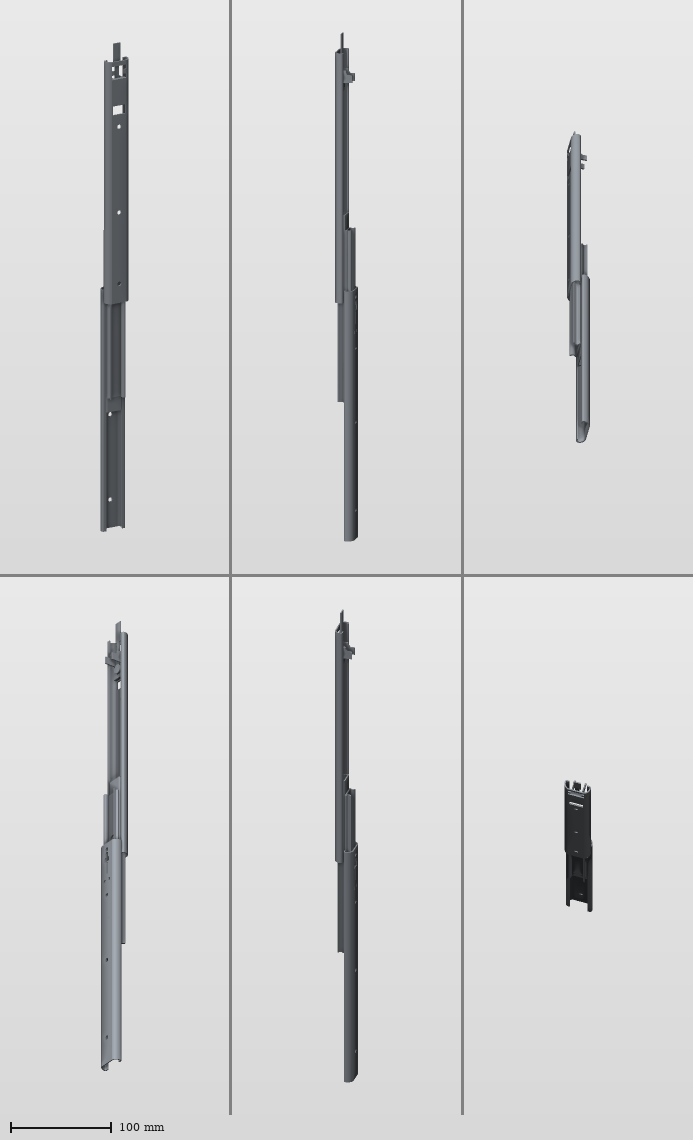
import cadquery as cq
import math


TOTAL_DEPTH = 19.1
TOTAL_WIDTH = 26.8
TOTAL_HEIGHT = 513.2
SHEET = 1.25
CUT_LENGTH = 60.0

RAIL_LENGTH = 254.0
RAIL_GAP = 1.0
RAIL_DEPTH = (TOTAL_DEPTH - RAIL_GAP) / 2
RAIL_HALF_WIDTH = TOTAL_WIDTH / 2
WEB_HALF_WIDTH = 8.4
SHOULDER_DEPTH = 6.5
LIP_RADIUS = 2.05
LIP_TIP = 9.1
DRAWER_WEB_X = -TOTAL_DEPTH / 2
CABINET_WEB_X = TOTAL_DEPTH / 2
DRAWER_RAIL_Z = 0.0
CABINET_RAIL_Z = 241.5

CHANNEL_LENGTH = 190.0
CHANNEL_JOINT_X = -0.6
CHANNEL_END_X = 7.0
CHANNEL_HALF_WIDTH = 8.5
CHANNEL_LIP = 0.9
GROOVE_DEPTH = 1.5
BACK_CORNER = 1.0
CABINET_CHANNEL_Z = 140.0
DRAWER_CHANNEL_Z = 124.5

HOLE_DIAMETER = 4.6
DRAWER_HOLES_Z = (29.5, 119.0, 246.5)
CABINET_HOLES_Z = (336.5, 426.5)
PASSAGE_Z = 261.5
PASSAGE_CLEARANCE_DIAMETER = 9.2
SLOT_HOLE_Z = 194.0
SLOT_HOLE_HEIGHT = 3.2

NECK_TOP_Z = 243.4
NECK_WIDTH = 4.6
BODY_TOP_Z = 237.3
BODY_BOTTOM_Z = 232.7
BODY_WIDTH = 7.7
SLIT_TOP_Z = 231.5
SLIT_BOTTOM_Z = 218.7
SLIT_WIDTH = 1.6
SQUARE_SIZE = 3.0
SQUARE_Z = 211.0
SQUARE_Y = 3.9

TAB_ROOT_WIDTH = 6.2
TAB_TIP_WIDTH = 3.0
TAB_TIP_X = -4.8

UPPER_WINDOW = (476.8, 490.7)
LOWER_WINDOW = (439.7, 449.0)
UPPER_WINDOW_WIDTH = 16.4
LOWER_WINDOW_WIDTH = 14.0
WINDOW_TAB = (481.5, 486.0)
WINDOW_TAB_GAP = 10.8

LATCH_FACE_X = 5.4
HOLDER_WIDTH = 16.4
HOLDER_BOTTOM_Z = 450.5
EAR_THICKNESS = 1.4
EAR_OUTER_Y = 6.0
EAR_TIP_X = -7.2
EAR_BOTTOM_Z = 464.5
EAR_TOP_Z = 472.2
EAR_ROOT_X = -0.8
EAR_SLOPE_TOP_Z = 474.5
EAR_SLOPE_START_X = -2.5
LEVER_THICKNESS = 1.2
LEVER_STEP_Z = UPPER_WINDOW[1]
LEVER_HANDLE_WIDTH = 7.7
LEVER_STEM_WIDTH = 4.6
LEVER_BOTTOM_Z = 464.8
RIVET_DIAMETER = 10.0
RIVET_THICKNESS = 2.4
RIVET_Z = 459.4


def box(x_range, width, z_range, y=0.0):
    """Block between two X and two Z positions, centred on y."""
    depth = x_range[1] - x_range[0]
    height = z_range[1] - z_range[0]
    block = cq.Workplane("XY").box(depth, width, height, centered=(False, True, False))
    return block.translate((x_range[0], y, z_range[0]))


def web_hole(diameter, z):
    """Round cutter along X."""
    return cq.Workplane("YZ").center(0, z).circle(diameter / 2).extrude(CUT_LENGTH / 2, both=True)


def web_window(width, z_range, y=0.0):
    """Rectangular cutter along X."""
    return box((-CUT_LENGTH / 2, CUT_LENGTH / 2), width, z_range, y)


def outer_rail(web_x, inward, bottom):
    """Rail with rounded shoulders and curled lips, its web at web_x and open toward inward."""

    def point(depth, y):
        return (web_x + inward * depth, y)

    rise = RAIL_HALF_WIDTH - WEB_HALF_WIDTH
    radius = (SHOULDER_DEPTH**2 + rise**2) / (2 * rise)
    center_y = RAIL_HALF_WIDTH - radius
    half_sweep = math.atan2(SHOULDER_DEPTH, WEB_HALF_WIDTH - center_y) / 2
    diagonal = math.sqrt(0.5)
    lip_start = RAIL_DEPTH - LIP_RADIUS
    lip_center_y = RAIL_HALF_WIDTH - LIP_RADIUS

    def shoulder(inset):
        """Web end and middle of the shoulder, on the surface that lies inset inside the sheet."""
        arc = radius - inset
        height = math.sqrt(arc**2 - (SHOULDER_DEPTH - inset) ** 2)
        web_end = (inset, center_y + height)
        middle = (SHOULDER_DEPTH - arc * math.sin(half_sweep), center_y + arc * math.cos(half_sweep))
        return web_end, middle

    def lip_middle(inset):
        reach = (LIP_RADIUS - inset) * diagonal
        return point(lip_start + reach, lip_center_y + reach)

    outer_end, outer_middle = shoulder(0)
    inner_end, inner_middle = shoulder(SHEET)
    half = (
        cq.Workplane("XY", origin=(0, 0, bottom))
        .moveTo(*point(0, 0))
        .lineTo(*point(*outer_end))
        .threePointArc(point(*outer_middle), point(SHOULDER_DEPTH, RAIL_HALF_WIDTH))
        .lineTo(*point(lip_start, RAIL_HALF_WIDTH))
        .threePointArc(lip_middle(0), point(RAIL_DEPTH, lip_center_y))
        .lineTo(*point(RAIL_DEPTH, LIP_TIP))
        .lineTo(*point(RAIL_DEPTH - SHEET, LIP_TIP))
        .lineTo(*point(RAIL_DEPTH - SHEET, lip_center_y))
        .threePointArc(lip_middle(SHEET), point(lip_start, RAIL_HALF_WIDTH - SHEET))
        .lineTo(*point(SHOULDER_DEPTH, RAIL_HALF_WIDTH - SHEET))
        .threePointArc(point(*inner_middle), point(*inner_end))
        .lineTo(*point(SHEET, 0))
        .close()
        .extrude(RAIL_LENGTH)
    )
    return half.union(half.mirror("XZ"))


def middle_channel(outward, bottom):
    """Channel with its back on the joint plane and ball grooves outside its flanges."""
    end_x = outward * CHANNEL_END_X
    front_x = CHANNEL_JOINT_X + outward * SHEET
    crest_x = CHANNEL_JOINT_X + outward * BACK_CORNER
    groove_end_x = end_x - outward * CHANNEL_LIP
    groove_middle_x = (crest_x + groove_end_x) / 2
    groove_floor = CHANNEL_HALF_WIDTH - GROOVE_DEPTH
    along = (outward, 0)
    half = (
        cq.Workplane("XY", origin=(0, 0, bottom))
        .moveTo(CHANNEL_JOINT_X, 0)
        .lineTo(CHANNEL_JOINT_X, CHANNEL_HALF_WIDTH - BACK_CORNER)
        .tangentArcPoint((crest_x, CHANNEL_HALF_WIDTH), relative=False)
        .spline([(groove_middle_x, groove_floor)], tangents=[along, along], includeCurrent=True)
        .tangentArcPoint((groove_end_x, CHANNEL_HALF_WIDTH), relative=False)
        .lineTo(end_x, CHANNEL_HALF_WIDTH)
        .lineTo(end_x, CHANNEL_HALF_WIDTH - SHEET)
        .threePointArc((groove_middle_x, groove_floor - SHEET), (front_x, CHANNEL_HALF_WIDTH - SHEET))
        .lineTo(front_x, 0)
        .close()
        .extrude(CHANNEL_LENGTH)
    )
    return half.union(half.mirror("XZ"))


def stop_tab():
    """Tapered tab that stands on the inside of the drawer rail's web."""
    root_x = DRAWER_WEB_X + SHEET / 2
    tab_outline = [
        (root_x, -TAB_ROOT_WIDTH / 2),
        (TAB_TIP_X, -TAB_TIP_WIDTH / 2),
        (TAB_TIP_X, TAB_TIP_WIDTH / 2),
        (root_x, TAB_ROOT_WIDTH / 2),
    ]
    tab = cq.Workplane("XY", origin=(0, 0, SLIT_TOP_Z)).polyline(tab_outline).close()
    return tab.extrude(BODY_BOTTOM_Z - SLIT_TOP_Z)


def make_drawer_rail():
    rail = outer_rail(DRAWER_WEB_X, 1, DRAWER_RAIL_Z)
    for z in DRAWER_HOLES_Z:
        rail = rail.cut(web_hole(HOLE_DIAMETER, z))
    slot_hole = (
        cq.Workplane("YZ")
        .center(0, SLOT_HOLE_Z)
        .slot2D(HOLE_DIAMETER, SLOT_HOLE_HEIGHT)
        .extrude(CUT_LENGTH / 2, both=True)
    )
    rail = rail.cut(slot_hole)

    neck_center = NECK_TOP_Z - NECK_WIDTH / 2
    bottle = web_hole(NECK_WIDTH, neck_center)
    bottle = bottle.union(web_window(NECK_WIDTH, (BODY_BOTTOM_Z, neck_center)))
    bottle = bottle.union(web_window(BODY_WIDTH, (BODY_BOTTOM_Z, BODY_TOP_Z)))
    rail = rail.cut(bottle).cut(web_window(SLIT_WIDTH, (SLIT_BOTTOM_Z, SLIT_TOP_Z)))
    rail = rail.union(stop_tab())

    square_range = (SQUARE_Z - SQUARE_SIZE / 2, SQUARE_Z + SQUARE_SIZE / 2)
    for side in (-1, 1):
        rail = rail.cut(web_window(SQUARE_SIZE, square_range, side * SQUARE_Y))
    return rail


def make_cabinet_rail():
    rail = outer_rail(CABINET_WEB_X, -1, CABINET_RAIL_Z)
    for z in (PASSAGE_Z, *CABINET_HOLES_Z):
        rail = rail.cut(web_hole(HOLE_DIAMETER, z))

    upper = web_window(UPPER_WINDOW_WIDTH, UPPER_WINDOW)
    upper = upper.cut(web_window(UPPER_WINDOW_WIDTH, WINDOW_TAB))
    upper = upper.union(web_window(WINDOW_TAB_GAP, WINDOW_TAB))
    return rail.cut(upper).cut(web_window(LOWER_WINDOW_WIDTH, LOWER_WINDOW))


def make_drawer_channel():
    channel = middle_channel(-1, DRAWER_CHANNEL_Z)
    return channel.cut(web_hole(PASSAGE_CLEARANCE_DIAMETER, PASSAGE_Z))


def make_cabinet_channel():
    channel = middle_channel(1, CABINET_CHANNEL_Z)
    return channel.cut(web_hole(HOLE_DIAMETER, PASSAGE_Z))


def make_latch_holder():
    """Plate on the web with two ears that reach toward -X."""
    plate_top = UPPER_WINDOW[0]
    holder = box((LATCH_FACE_X, CABINET_WEB_X - SHEET), HOLDER_WIDTH, (HOLDER_BOTTOM_Z, plate_top))
    ear_outline = [
        (LATCH_FACE_X, EAR_BOTTOM_Z),
        (EAR_TIP_X, EAR_BOTTOM_Z),
        (EAR_TIP_X, EAR_TOP_Z),
        (EAR_SLOPE_START_X, EAR_TOP_Z),
        (EAR_ROOT_X, EAR_SLOPE_TOP_Z),
        (EAR_ROOT_X, plate_top),
        (LATCH_FACE_X, plate_top),
    ]
    ear = (
        cq.Workplane("XZ", origin=(0, EAR_OUTER_Y, 0))
        .polyline(ear_outline)
        .close()
        .extrude(EAR_THICKNESS)
    )
    return holder.union(ear).union(ear.mirror("XZ"))


def make_latch_lever():
    """Flat lever: a wide handle above a narrow stem."""
    x_range = (LATCH_FACE_X - LEVER_THICKNESS, LATCH_FACE_X)
    handle = box(x_range, LEVER_HANDLE_WIDTH, (LEVER_STEP_Z, TOTAL_HEIGHT))
    return handle.union(box(x_range, LEVER_STEM_WIDTH, (LEVER_BOTTOM_Z, LEVER_STEP_Z)))


def make_latch_rivet():
    return (
        cq.Workplane("YZ", origin=(LATCH_FACE_X, 0, RIVET_Z))
        .circle(RIVET_DIAMETER / 2)
        .extrude(-RIVET_THICKNESS)
    )


drawer_rail = make_drawer_rail()
cabinet_rail = make_cabinet_rail()
drawer_channel = make_drawer_channel()
cabinet_channel = make_cabinet_channel()
latch_holder = make_latch_holder()
latch_lever = make_latch_lever()
latch_rivet = make_latch_rivet()

result = cq.Compound.makeCompound([
    drawer_rail.val(),
    cabinet_rail.val(),
    drawer_channel.val(),
    cabinet_channel.val(),
    latch_holder.val(),
    latch_lever.val(),
    latch_rivet.val(),
])